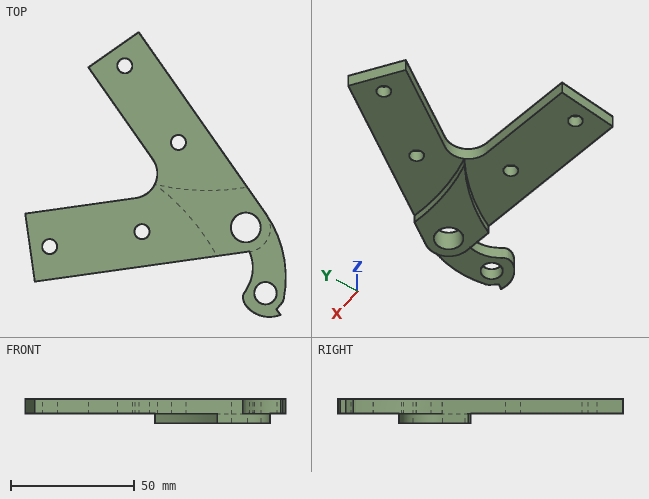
import cadquery as cq
import math

PLATE_THICKNESS = 6.0
PAD_THICKNESS = 4.0

HUB_RADIUS = 9.9
PIVOT_DIAMETER = 12.0

UPPER_ARM_ANGLE = 125.0
UPPER_ARM_LENGTH = 90.0
UPPER_ARM_WIDTH = 25.0
LOWER_ARM_ANGLE = 188.0
LOWER_ARM_LENGTH = 88.0
LOWER_ARM_WIDTH = 28.0
CROTCH_RADIUS = 10.0

MOUNT_DIAMETER = 6.0
MOUNT_END_MARGIN = 8.0
MOUNT_PITCH = 38.0
LOWER_END_HOLE_INSET = 13.3
LOWER_INNER_HOLE_INSET = 14.1

HOOK_BACK_RADIUS = 45.4
HOOK_BACK_SWEEP = 46.0
HOOK_HOLE_CENTER = (8.0, -26.7)
HOOK_HOLE_DIAMETER = 9.0
HOOK_SHOULDER = (15.0, -30.3)
NOTCH_ROOT = (12.5, -33.3)
HOOK_TIP = (14.2, -35.5)
HOOK_TOE_RADIUS = 12.1
HOOK_HEEL = (0.0, -31.7)
HEEL_SIDE = (-1.2, -28.5)
HEEL_LOWER_BULGE = (-0.8, -30.2)
HEEL_UPPER_BULGE = (-1.0, -27.2)
HEEL_TOP = (-0.2, -26.0)
NECK_END = (1.7, -22.2)
NECK_MIDDLE = (2.8, -16.5)
NECK_START_X = 1.4

PAD_FOOT_REACH = 13.2
PAD_SIDE_RADIUS = 91.0


def polar(radius, angle):
    """Point at a distance and an angle in degrees from the pivot."""
    turn = math.radians(angle)
    return (radius * math.cos(turn), radius * math.sin(turn))


def offset(start, radius, angle):
    """Point at a distance and an angle in degrees from another point."""
    dx, dy = polar(radius, angle)
    return (start[0] + dx, start[1] + dy)


def upper_arm_point(reach, inset):
    """Point along the upper arm, measured inward from its outer edge."""
    return offset(polar(reach, UPPER_ARM_ANGLE), HUB_RADIUS - inset, UPPER_ARM_ANGLE - 90)


def lower_arm_point(reach, inset):
    """Point along the lower arm, measured inward from its outer edge."""
    return offset(polar(reach, LOWER_ARM_ANGLE), HUB_RADIUS - inset, LOWER_ARM_ANGLE + 90)


def crotch_center():
    """Center of the round between the arms, tangent to both inner edges."""
    upper_gap = UPPER_ARM_WIDTH - HUB_RADIUS + CROTCH_RADIUS
    lower_gap = LOWER_ARM_WIDTH - HUB_RADIUS + CROTCH_RADIUS
    opening = math.radians(LOWER_ARM_ANGLE - UPPER_ARM_ANGLE)
    reach = (lower_gap + upper_gap * math.cos(opening)) / math.sin(opening)
    return offset(polar(reach, UPPER_ARM_ANGLE), upper_gap, UPPER_ARM_ANGLE + 90)


def crotch_bottom():
    """Point of the crotch round that lies nearest the pivot."""
    x, y = crotch_center()
    distance = math.hypot(x, y)
    return polar(distance - CROTCH_RADIUS, math.degrees(math.atan2(y, x)))


def neck_start():
    """Point where the lower arm's outer edge meets the hook neck."""
    turn = math.radians(LOWER_ARM_ANGLE - 180)
    return (NECK_START_X, NECK_START_X * math.tan(turn) - HUB_RADIUS / math.cos(turn))


def make_plate():
    back_start_angle = UPPER_ARM_ANGLE - 90
    back_start = polar(HUB_RADIUS, back_start_angle)
    back_center = polar(HUB_RADIUS - HOOK_BACK_RADIUS, back_start_angle)
    back_middle = offset(back_center, HOOK_BACK_RADIUS, back_start_angle - HOOK_BACK_SWEEP / 2)
    back_end = offset(back_center, HOOK_BACK_RADIUS, back_start_angle - HOOK_BACK_SWEEP)

    crotch = crotch_center()
    return (
        cq.Workplane("XY")
        .moveTo(*upper_arm_point(UPPER_ARM_LENGTH, 0))
        .lineTo(*back_start)
        .threePointArc(back_middle, back_end)
        .lineTo(*HOOK_SHOULDER)
        .lineTo(*NOTCH_ROOT)
        .lineTo(*HOOK_TIP)
        .radiusArc(HOOK_HEEL, HOOK_TOE_RADIUS)
        .threePointArc(HEEL_LOWER_BULGE, HEEL_SIDE)
        .threePointArc(HEEL_UPPER_BULGE, HEEL_TOP)
        .lineTo(*NECK_END)
        .threePointArc(NECK_MIDDLE, neck_start())
        .lineTo(*lower_arm_point(LOWER_ARM_LENGTH, 0))
        .lineTo(*lower_arm_point(LOWER_ARM_LENGTH, LOWER_ARM_WIDTH))
        .lineTo(*offset(crotch, CROTCH_RADIUS, LOWER_ARM_ANGLE + 90))
        .threePointArc(crotch_bottom(), offset(crotch, CROTCH_RADIUS, UPPER_ARM_ANGLE - 90))
        .lineTo(*upper_arm_point(UPPER_ARM_LENGTH, UPPER_ARM_WIDTH))
        .close()
        .extrude(PLATE_THICKNESS)
    )


def make_pad():
    hub_upper = polar(HUB_RADIUS, UPPER_ARM_ANGLE - 90)
    hub_lower = polar(HUB_RADIUS, LOWER_ARM_ANGLE + 90)
    hub_outermost = polar(HUB_RADIUS, (UPPER_ARM_ANGLE + LOWER_ARM_ANGLE) / 2 - 180)
    return (
        cq.Workplane("XY")
        .moveTo(*crotch_bottom())
        .radiusArc(lower_arm_point(PAD_FOOT_REACH, 0), PAD_SIDE_RADIUS)
        .lineTo(*hub_lower)
        .threePointArc(hub_outermost, hub_upper)
        .lineTo(*upper_arm_point(PAD_FOOT_REACH, 0))
        .radiusArc(crotch_bottom(), PAD_SIDE_RADIUS)
        .close()
        .extrude(-PAD_THICKNESS)
    )


def make_hole(center, diameter):
    """Cutter that passes through the plate and the pad."""
    return (
        cq.Workplane("XY", origin=(0, 0, -PAD_THICKNESS))
        .center(*center)
        .circle(diameter / 2)
        .extrude(PAD_THICKNESS + PLATE_THICKNESS)
    )


upper_end_reach = UPPER_ARM_LENGTH - MOUNT_END_MARGIN
lower_end_reach = LOWER_ARM_LENGTH - MOUNT_END_MARGIN
mount_centers = [
    upper_arm_point(upper_end_reach, UPPER_ARM_WIDTH / 2),
    upper_arm_point(upper_end_reach - MOUNT_PITCH, UPPER_ARM_WIDTH / 2),
    lower_arm_point(lower_end_reach, LOWER_END_HOLE_INSET),
    lower_arm_point(lower_end_reach - MOUNT_PITCH, LOWER_INNER_HOLE_INSET),
]

result = make_plate().union(make_pad())
result = result.cut(make_hole((0, 0), PIVOT_DIAMETER))
result = result.cut(make_hole(HOOK_HOLE_CENTER, HOOK_HOLE_DIAMETER))
for mount_center in mount_centers:
    result = result.cut(make_hole(mount_center, MOUNT_DIAMETER))